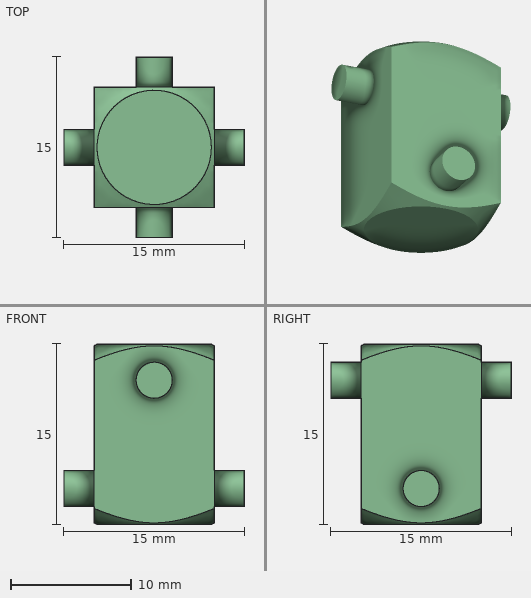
import cadquery as cq
import math

block_width = 10.0
block_height = 15.0
end_face_diameter = 9.5
end_cone_slope = 30.0

pin_diameter = 3.0
pin_span = 15.0
pin_end_distance = 3.0

blank_clearance = 1.0

corner_radius = block_width / math.sqrt(2)
blank_radius = corner_radius + blank_clearance
end_face_radius = end_face_diameter / 2
cone_drop = (blank_radius - end_face_radius) * math.tan(math.radians(end_cone_slope))

def square_block():
    return cq.Workplane("XY").rect(block_width, block_width).extrude(block_height)

def turned_blank():
    """Round blank with a cone at each end, which trims the block corners."""
    half_profile = (
        cq.Workplane("XZ")
        .moveTo(0, 0)
        .lineTo(end_face_radius, 0)
        .lineTo(blank_radius, cone_drop)
        .lineTo(blank_radius, block_height - cone_drop)
        .lineTo(end_face_radius, block_height)
        .lineTo(0, block_height)
        .close()
    )
    return half_profile.revolve(360, (0, 0, 0), (0, 1, 0))

def cross_pin(normal_plane, axis_height):
    """Pin centred on the block, running along the normal of the given plane."""
    return (
        cq.Workplane(normal_plane, origin=(0, 0, axis_height))
        .circle(pin_diameter / 2)
        .extrude(pin_span / 2, both=True)
    )

body = square_block().intersect(turned_blank())
lower_pin = cross_pin("YZ", pin_end_distance)
upper_pin = cross_pin("XZ", block_height - pin_end_distance)

result = body.union(lower_pin).union(upper_pin)